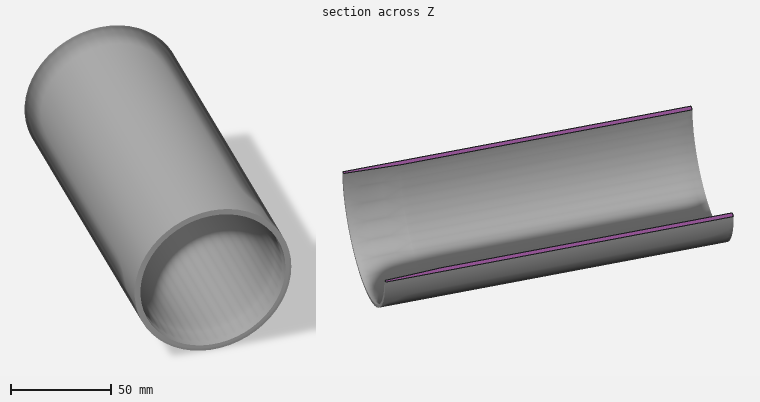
import cadquery as cq

length = 180.0
outer_radius = 41.0
wall = 3.0
mouth_wall = 1.6
flare_depth = 29.2

bore_radius = outer_radius - wall
mouth_radius = outer_radius - mouth_wall
mouth_x = -length / 2
far_x = length / 2

wall_section = (
    cq.Workplane("XY")
    .moveTo(mouth_x, mouth_radius)
    .lineTo(mouth_x, outer_radius)
    .lineTo(far_x, outer_radius)
    .lineTo(far_x, bore_radius)
    .lineTo(mouth_x + flare_depth, bore_radius)
    .close()
)
result = wall_section.revolve(360, (0, 0, 0), (1, 0, 0))